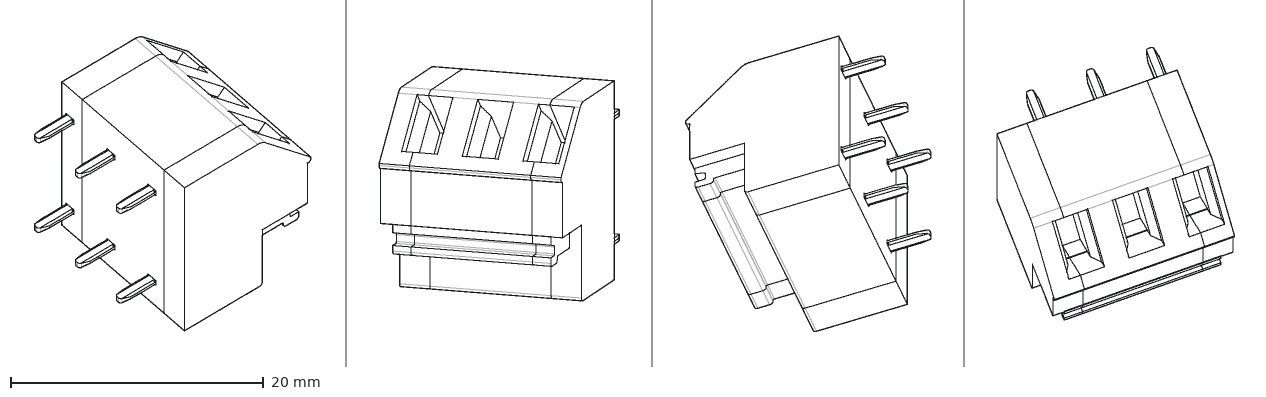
import cadquery as cq
import math


pitch = 5.08
pole_count = 3
width = pole_count * pitch
height = 16.2
depth = 13.0
end_width = pitch / 2

foot_depth = 8.0
slope_angle = math.radians(45)
slope_top_y = foot_depth
slope_round = 1.1
slope_start_y = slope_top_y + slope_round * math.sin(slope_angle) * math.tan(slope_angle / 2)
lip_overhang = 0.35
lip_bottom_z = 10.73
lip_round = 0.3
back_y = depth - lip_overhang
step_z = 6.23
foot_round = 0.3
slope_end_z = height - (depth - slope_top_y)

latch_inset = 1.0
latch_back_y = 12.59
latch_bottom_z = 3.76
latch_beam_z = 4.3
latch_beam_end_y = 11.0
latch_notch_y = 11.7
latch_notch_bottom_z = 4.51
latch_notch_top_z = 5.3
latch_lip_z = 5.55
latch_round = 0.3
notch_round = 0.13

entry_first_x = 2.0
entry_width = 3.0
entry_bottom_y = 12.1
throat_width = 1.9
funnel_start = 0.95
funnel_end = 2.42
entry_depth = 5.6
ledge_depth = 3.45
ledge_step = 0.06
ledge_end_step = 0.14

pin_first_x = 1.03
pin_row_count = 2
pin_row_spacing = 2 * pitch
pin_lower_z = 2.64
pin_length = 3.5
pin_width = 1.0
pin_thickness = 0.5
pin_edge_width = 0.2
pin_edge_drop = 0.125
pin_taper_length = 0.95
pin_tip_width = 0.56
pin_tip_round = 0.24
pin_root_length = 0.15
pin_root_angle = 30


def side_profile(points, start_x):
    """Closed outline of (y, z) points in the plane X = start_x."""
    return cq.Workplane("YZ", origin=(start_x, 0, 0)).polyline(points).close()


def edge_at(y, z):
    """Selector for the edge along X that passes through (y, z)."""
    margin = 0.01
    return cq.selectors.BoxSelector(
        (-width, y - margin, z - margin), (2 * width, y + margin, z + margin)
    )


def make_block():
    outline = [
        (0, 0),
        (foot_depth, 0),
        (foot_depth, step_z),
        (back_y, step_z),
        (back_y, lip_bottom_z),
        (depth, lip_bottom_z),
        (depth, slope_end_z),
        (slope_top_y, height),
        (0, height),
    ]
    block = side_profile(outline, 0).extrude(width)
    block = block.edges(edge_at(slope_top_y, height)).fillet(slope_round)
    block = block.edges(edge_at(depth, lip_bottom_z)).fillet(lip_round)
    return block.edges(edge_at(foot_depth, 0)).fillet(foot_round)


def make_latch():
    outline = [
        (foot_depth, step_z),
        (latch_back_y, step_z),
        (latch_back_y, latch_lip_z),
        (latch_notch_y, latch_notch_top_z),
        (latch_notch_y, latch_notch_bottom_z),
        (latch_back_y, latch_notch_bottom_z),
        (latch_back_y, latch_bottom_z),
        (latch_beam_end_y, latch_bottom_z),
        (latch_beam_end_y, latch_beam_z),
        (foot_depth, latch_beam_z),
    ]
    latch = side_profile(outline, latch_inset).extrude(width - 2 * latch_inset)
    for y in (latch_back_y, latch_beam_end_y):
        latch = latch.edges(edge_at(y, latch_bottom_z)).fillet(latch_round)
    for y, z in (
        (latch_notch_y, latch_notch_top_z),
        (latch_notch_y, latch_notch_bottom_z),
        (latch_beam_end_y, latch_beam_z),
    ):
        latch = latch.edges(edge_at(y, z)).fillet(notch_round)
    return latch


def make_entry(center_x):
    """Cutter for one wire entry: a wide mouth, a funnel and a narrow throat."""
    length = (entry_bottom_y - slope_start_y) * math.sqrt(2)
    middle_y = (slope_start_y + entry_bottom_y) / 2
    middle_z = height - (middle_y - slope_top_y)
    mouth = entry_width / 2
    throat = throat_width / 2
    across = cq.Plane(
        origin=(center_x, middle_y, middle_z), xDir=(1, 0, 0), normal=(0, 1, -1)
    )
    funnel = [
        (-mouth, 0),
        (mouth, 0),
        (mouth, funnel_start),
        (throat, funnel_end),
        (throat, entry_depth),
        (-throat, entry_depth),
        (-throat, funnel_end),
        (-mouth, funnel_start),
    ]
    entry = cq.Workplane(across).polyline(funnel).close().extrude(length / 2, both=True)

    along = cq.Plane(
        origin=(center_x, middle_y, middle_z), xDir=(0, 1, -1), normal=(-1, 0, 0)
    )
    lower_wall = length / 2
    ledge = [
        (lower_wall, ledge_depth),
        (lower_wall - ledge_step, ledge_depth),
        (lower_wall - ledge_end_step, entry_depth),
        (lower_wall, entry_depth),
    ]
    wedge = cq.Workplane(along).polyline(ledge).close().extrude(throat, both=True)
    return entry.cut(wedge)


def make_pin(center_x, center_z):
    """Flat pin with chamfered long edges and a tapered, rounded tip."""
    half_width = pin_width / 2
    half_thickness = pin_thickness / 2
    face = half_width - pin_edge_width
    side = half_thickness - pin_edge_drop
    section = [
        (half_width, side),
        (face, half_thickness),
        (-face, half_thickness),
        (-half_width, side),
        (-half_width, -side),
        (-face, -half_thickness),
        (face, -half_thickness),
        (half_width, -side),
    ]
    bar = (
        cq.Workplane("XZ", origin=(center_x, 0, center_z))
        .polyline(section)
        .close()
        .extrude(pin_length)
    )
    root = (
        cq.Workplane("XZ", origin=(center_x, 0, center_z))
        .rect(pin_width, pin_thickness)
        .extrude(pin_root_length, taper=pin_root_angle)
    )
    half_tip = pin_tip_width / 2
    taper_y = pin_taper_length - pin_length
    plan = [
        (-half_width, 0),
        (-half_width, taper_y),
        (-half_tip, -pin_length),
        (half_tip, -pin_length),
        (half_width, taper_y),
        (half_width, 0),
    ]
    blade = (
        cq.Workplane("XY", origin=(center_x, 0, center_z))
        .polyline(plan)
        .close()
        .extrude(half_thickness, both=True)
        .faces("<Y")
        .edges("|Z")
        .fillet(pin_tip_round)
    )
    return bar.union(root).intersect(blade)


def make_terminal():
    """All three sections in one piece, before they are parted."""
    terminal = make_block().union(make_latch())
    for pole in range(pole_count):
        terminal = terminal.cut(make_entry(entry_first_x + pole * pitch))
        for row in range(pin_row_count):
            terminal = terminal.union(
                make_pin(pin_first_x + pole * pitch, pin_lower_z + row * pin_row_spacing)
            )
    return terminal


def make_section(terminal, start_x, end_x):
    """The part of the terminal between two planes square to X."""
    slab = cq.Workplane("XY").box(
        end_x - start_x, 2 * (depth + pin_length), height, centered=(False, True, False)
    )
    return terminal.intersect(slab.translate((start_x, 0, 0))).solids()


terminal = make_terminal()
left_end = make_section(terminal, 0, end_width)
middle = make_section(terminal, end_width, width - end_width)
right_end = make_section(terminal, width - end_width, width)

result = cq.Compound.makeCompound([left_end.val(), middle.val(), right_end.val()])